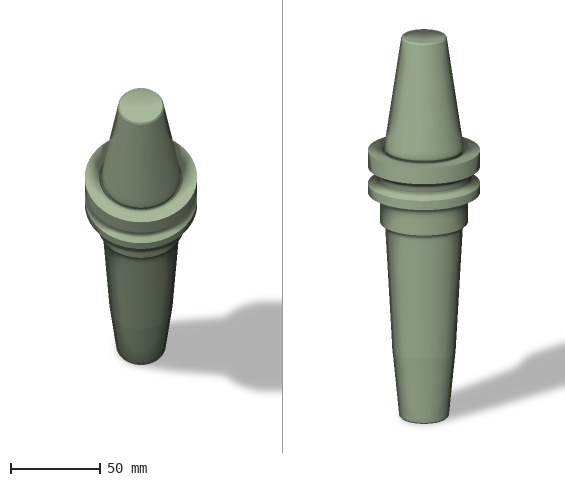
import cadquery as cq

total_length = 225.5
taper_length = 65.4
flange_top_depth = 67.5
flange_bottom_depth = 92.5
collar_end_depth = 110.5
nose_start_depth = 185.5

taper_small_radius = 12.8
taper_large_radius = 22.3
taper_chamfer_width = 0.7
taper_chamfer_height = 1.1
taper_land_length = 1.0
neck_radius = 21.6
relief_radius = 23.5
relief_floor_radius = 22.8
relief_depth = 1.1

flange_radius = 31.5
groove_radius = 26.5
groove_corner_width = 0.5
groove_corner_height = 0.7
groove_top_depth = 77.0
groove_floor_top_depth = 80.5
groove_floor_bottom_depth = 83.8
groove_bottom_depth = 87.0

collar_radius = 24.8
collar_chamfer = 0.7
body_top_radius = 21.9
body_top_depth = 112.2
collar_step_radius = 22.8
nose_top_radius = 17.8
nose_end_radius = 14.0
nose_chamfer = 1.0


def height(depth):
    """Z of a point at the given depth below the small end; Z = 0 is the nose face."""
    return total_length - depth


def revolve_profile(stations):
    """Solid of revolution about Z through (radius, depth) points, closed along the axis."""
    points = [(radius, height(depth)) for radius, depth in stations]
    axis_ends = [(0, points[-1][1]), (0, points[0][1])]
    return cq.Workplane("XZ").polyline(points + axis_ends).close().revolve(360, (0, 0), (0, 1))


shank_stations = [
    (taper_small_radius - taper_chamfer_width, 0),
    (taper_small_radius, taper_chamfer_height),
    (taper_large_radius, taper_length),
    (taper_large_radius, taper_length + taper_land_length),
    (neck_radius, flange_top_depth),
    (neck_radius, flange_top_depth + relief_depth),
    (relief_floor_radius, flange_top_depth + relief_depth),
    (relief_radius, flange_top_depth),
]

flange_stations = [
    (flange_radius, flange_top_depth),
    (flange_radius, groove_top_depth),
    (groove_radius + groove_corner_width, groove_floor_top_depth - groove_corner_height),
    (groove_radius, groove_floor_top_depth),
    (groove_radius, groove_floor_bottom_depth),
    (groove_radius + groove_corner_width, groove_floor_bottom_depth + groove_corner_height),
    (flange_radius, groove_bottom_depth),
    (flange_radius, flange_bottom_depth),
]

nose_stations = [
    (collar_radius, flange_bottom_depth),
    (collar_radius, collar_end_depth - collar_chamfer),
    (collar_radius - collar_chamfer, collar_end_depth),
    (collar_step_radius, collar_end_depth),
    (body_top_radius, body_top_depth),
    (nose_top_radius, nose_start_depth),
    (nose_end_radius, total_length - nose_chamfer),
    (nose_end_radius - nose_chamfer, total_length),
]

result = revolve_profile(shank_stations + flange_stations + nose_stations)